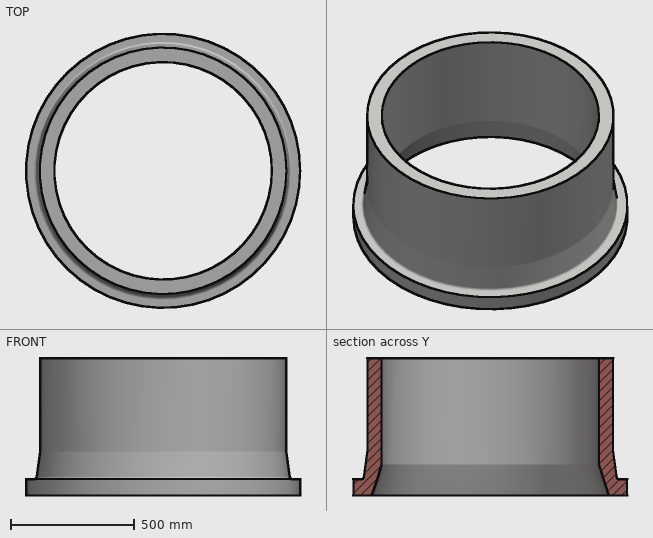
import cadquery as cq
import math

flange_diameter = 1112.0
total_height = 557.0
flange_thickness = 67.0

pipe_diameter = 1000.0
bore_diameter = 881.0

hub_top_height = 178.0
hub_base_diameter = 1027.0
fillet_height = 10.0
fillet_foot_diameter = 1050.0

bore_taper_height = 125.0
bore_mouth_diameter = 961.0

flange_radius = flange_diameter / 2
pipe_radius = pipe_diameter / 2
bore_radius = bore_diameter / 2
hub_base_radius = hub_base_diameter / 2
fillet_foot_radius = fillet_foot_diameter / 2
bore_mouth_radius = bore_mouth_diameter / 2
hub_base_height = flange_thickness + fillet_height

arc_middle_factor = 1 - math.sqrt(0.5)
fillet_middle = (
    hub_base_radius + arc_middle_factor * (fillet_foot_radius - hub_base_radius),
    flange_thickness + arc_middle_factor * fillet_height,
)

half_section = (
    cq.Workplane("XZ")
    .moveTo(bore_mouth_radius, 0)
    .lineTo(flange_radius, 0)
    .lineTo(flange_radius, flange_thickness)
    .lineTo(fillet_foot_radius, flange_thickness)
    .threePointArc(fillet_middle, (hub_base_radius, hub_base_height))
    .lineTo(pipe_radius, hub_top_height)
    .lineTo(pipe_radius, total_height)
    .lineTo(bore_radius, total_height)
    .lineTo(bore_radius, bore_taper_height)
    .close()
)

result = half_section.revolve(360, (0, 0, 0), (0, 1, 0))